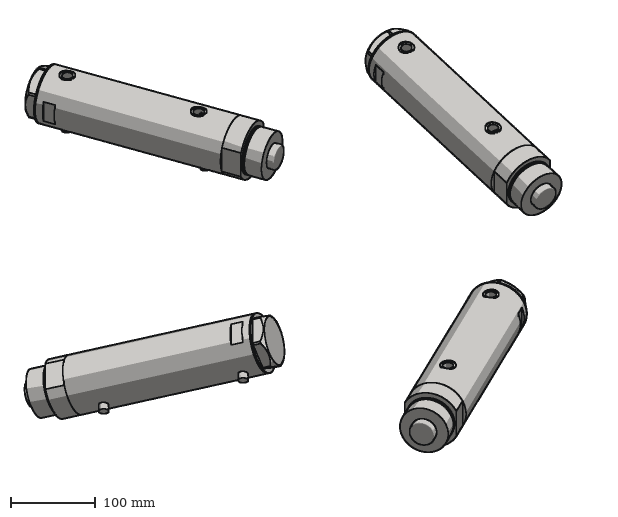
import cadquery as cq
import math


overall_length = 317.0
cap_hex_end = 14.5
cap_flange_end = 16.5
port_xs = (41.5, 212.5)
tube_end = 257.5
gland_shoulder = 282.5
gland_end = 308.0
piston_length = 25.5
cap_nose_end = 42.5
gland_nose_start = port_xs[1]

body_diameter = 73.0
bore_diameter = 45.5
gland_diameter = 60.0
rod_diameter = 31.5

hex_across_flats = 61.0
hex_corner_diameter = 68.8
hex_face_diameter = 59.0

port_diameter = 13.0
port_face_diameter = 19.0
port_face_depth = 1.5

slot_start = 26.0
slot_end = 41.2
slot_across_flats = 67.2
gland_across_flats = 64.0

pin_xs = (40.5, 221.0)
pin_diameter = 12.0
pin_bottom = -45.0

relief_lip = 1.5
relief_width = 2.0
relief_depth = 1.0
relief_run_out = 0.5
tip_fillet = 1.5


def cylinder_x(diameter, start, end):
    """Round bar along X between two stations."""
    return cq.Workplane("YZ").workplane(offset=start).circle(diameter / 2).extrude(end - start)


def flats_cutter(across_flats, start, end):
    """Pair of blocks that leave two flats facing -Y and +Y."""
    block_depth = body_diameter
    block = cq.Workplane("XY").box(end - start, block_depth, body_diameter)
    middle = (start + end) / 2
    offset = (across_flats + block_depth) / 2
    return block.translate((middle, offset, 0)).union(block.translate((middle, -offset, 0)))


def make_cap():
    """Chamfered hexagon, thin flange and a nose that fills the bore."""
    corner_to_corner = hex_across_flats / math.cos(math.pi / 6)
    hexagon = (
        cq.Workplane("YZ")
        .polygon(6, corner_to_corner)
        .extrude(cap_hex_end)
        .rotate((0, 0, 0), (1, 0, 0), 90)
    )
    chamfer = (hex_corner_diameter - hex_face_diameter) / 2
    envelope = cylinder_x(hex_corner_diameter, 0, cap_hex_end).faces("<X").chamfer(chamfer)
    flange = cylinder_x(body_diameter, cap_hex_end, cap_flange_end)
    nose = cylinder_x(bore_diameter, cap_flange_end, cap_nose_end)
    return hexagon.intersect(envelope).union(flange).union(nose)


def port_cutter(x):
    """Port hole from the top into the bore, with a flat seat around its mouth."""
    top = body_diameter / 2
    hole = cq.Workplane("XY").center(x, 0).circle(port_diameter / 2).extrude(top)
    seat = (
        cq.Workplane("XY", origin=(x, 0, top - port_face_depth))
        .circle(port_face_diameter / 2)
        .extrude(2 * port_face_depth)
    )
    return hole.union(seat)


def make_tube():
    """Tube with stepped bore, two ports on top, two wrench slots and two locating pins."""
    tube = cylinder_x(body_diameter, cap_flange_end, tube_end)
    for x in pin_xs:
        pin = cq.Workplane("XY").center(x, 0).circle(pin_diameter / 2).extrude(pin_bottom)
        tube = tube.union(pin)
    tube = tube.cut(cylinder_x(bore_diameter, cap_flange_end, gland_nose_start))
    tube = tube.cut(cylinder_x(gland_diameter, gland_nose_start, tube_end))
    for x in port_xs:
        tube = tube.cut(port_cutter(x))
    return tube.cut(flats_cutter(slot_across_flats, slot_start, slot_end))


def relief_cutter():
    """Ring that cuts the thread relief, with a sloping run-out on the thread side."""
    lip_end = gland_shoulder + relief_lip
    floor_end = lip_end + relief_width - relief_run_out
    outer = gland_diameter / 2
    floor = outer - relief_depth
    return (
        cq.Workplane("XY")
        .moveTo(lip_end, outer)
        .lineTo(lip_end, floor)
        .lineTo(floor_end, floor)
        .lineTo(lip_end + relief_width, outer)
        .close()
        .revolve(360, (0, 0, 0), (1, 0, 0))
    )


def make_gland():
    """Gland with a nose in the tube, a collar with two flats and a threaded end."""
    barrel = cylinder_x(gland_diameter, gland_nose_start, gland_end)
    collar = cylinder_x(body_diameter, tube_end, gland_shoulder)
    collar = collar.cut(flats_cutter(gland_across_flats, tube_end, gland_shoulder))
    rod_hole = cylinder_x(rod_diameter, gland_nose_start, gland_end)
    return barrel.union(collar).cut(relief_cutter()).cut(rod_hole)


def make_piston_rod():
    """Piston in the bore with a rod that runs out through the gland."""
    rod = cylinder_x(rod_diameter, cap_nose_end, overall_length).faces(">X").edges().fillet(tip_fillet)
    piston = cylinder_x(bore_diameter, cap_nose_end, cap_nose_end + piston_length)
    return rod.union(piston)


cap = make_cap()
tube = make_tube()
gland = make_gland()
piston_rod = make_piston_rod()

result = cq.Compound.makeCompound([cap.val(), tube.val(), gland.val(), piston_rod.val()])